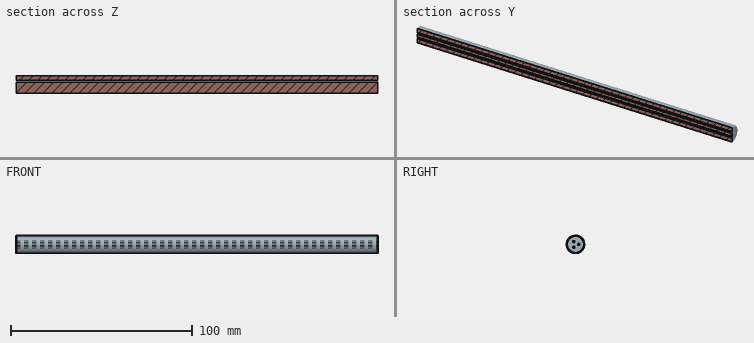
import cadquery as cq

rod_length = 200.0
rod_diameter = 10.0
end_chamfer = 0.5
bore_diameter = 0.8
bore_circle_radius = 1.8
bore_count = 3


def make_rod():
    """Cylinder centred on the origin along X, with both end rims chamfered."""
    rod = cq.Workplane("YZ").circle(rod_diameter / 2).extrude(rod_length / 2, both=True)
    return rod.faces("<X or >X").edges().chamfer(end_chamfer)


def make_bores():
    """Evenly spaced lengthwise bores, the first one on the +Y side of the axis."""
    return (
        cq.Workplane("YZ")
        .polarArray(bore_circle_radius, 0, 360, bore_count)
        .circle(bore_diameter / 2)
        .extrude(rod_length / 2, both=True)
    )


result = make_rod().cut(make_bores())